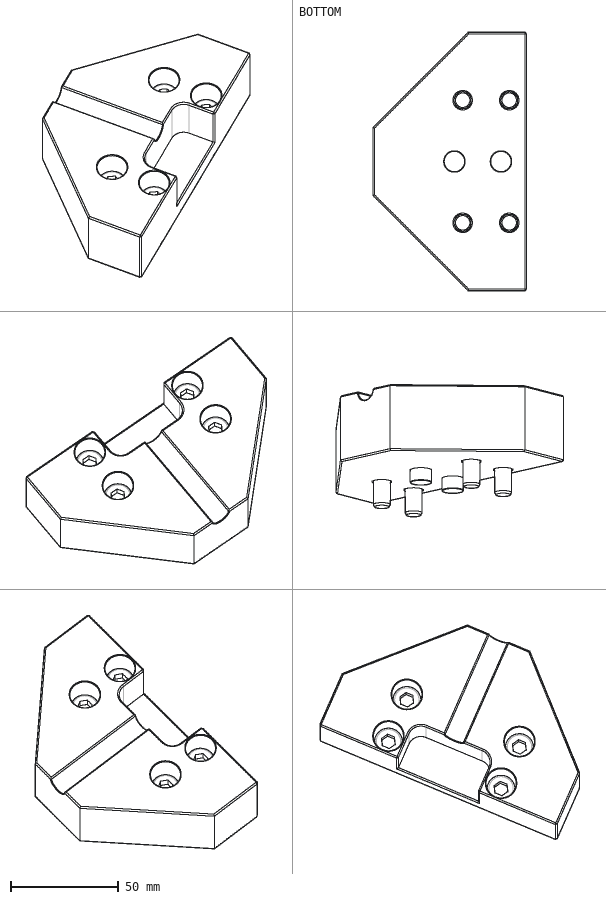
import cadquery as cq
import math

BLOCK_LENGTH = 71.7
BLOCK_WIDTH = 120.6
BLOCK_HEIGHT = 31.7
NARROW_FACE_WIDTH = 31.7
EDGE_CHAMFER = 0.7

COLUMN_SPACING = 21.7

POCKET_START_X = 52.6
POCKET_WIDTH = 40.7
POCKET_DEPTH = 21.7
POCKET_CORNER_RADIUS = 6.0

GROOVE_DIAMETER = 9.4
GROOVE_AXIS_DEPTH = 0.1
GROOVE_RIM_CHAMFER = 0.6
GROOVE_END_CHAMFER = 0.4

FIRST_BOLT_X = 41.9
BOLT_Y = 28.6
SHANK_DIAMETER = 8.0
CLEARANCE_DIAMETER = 9.0
SHANK_PROJECTION = 12.1
SHANK_LENGTH = 25.0
TIP_CHAMFER_WIDTH = 0.6
TIP_CHAMFER_HEIGHT = 1.1
HEAD_DIAMETER = 13.0
HEAD_HEIGHT = SHANK_DIAMETER
HEAD_FILLET = 0.8
SOCKET_ACROSS_FLATS = 6.0
SOCKET_DEPTH = HEAD_HEIGHT / 2
SOCKET_SIDES = 6
QUARTER_TURN = 90
COUNTERBORE_DIAMETER = 14.0
COUNTERBORE_CHAMFER = 0.4
SEAT_Z = SHANK_LENGTH - SHANK_PROJECTION

FIRST_DOWEL_X = 38.0
DOWEL_DIAMETER = 10.0
DOWEL_PROJECTION = 6.0
DOWEL_INSERTION = DOWEL_PROJECTION
DOWEL_CHAMFER = 0.2

COLUMN_OFFSETS = (0, COLUMN_SPACING)
BOLT_POINTS = [(FIRST_BOLT_X + offset, y) for offset in COLUMN_OFFSETS for y in (-BOLT_Y, BOLT_Y)]
DOWEL_POINTS = [(FIRST_DOWEL_X + offset, 0) for offset in COLUMN_OFFSETS]


def make_blank():
    """Prism with 45 degree flanks, a pocket in its wide side and chamfered edges."""
    flank = (BLOCK_WIDTH - NARROW_FACE_WIDTH) / 2
    half_narrow = NARROW_FACE_WIDTH / 2
    half_width = BLOCK_WIDTH / 2
    blank = (
        cq.Workplane("XY")
        .polyline(
            [
                (0, -half_narrow),
                (flank, -half_width),
                (BLOCK_LENGTH, -half_width),
                (BLOCK_LENGTH, half_width),
                (flank, half_width),
                (0, half_narrow),
            ]
        )
        .close()
        .extrude(BLOCK_HEIGHT)
    )
    pocket = (
        cq.Workplane("XY", origin=(POCKET_START_X, 0, BLOCK_HEIGHT - POCKET_DEPTH))
        .rect(BLOCK_LENGTH - POCKET_START_X, POCKET_WIDTH, centered=(False, True))
        .extrude(POCKET_DEPTH)
        .edges("|Z and <X")
        .fillet(POCKET_CORNER_RADIUS)
    )
    return blank.cut(pocket).faces(">Z or <Z or >X").edges().chamfer(EDGE_CHAMFER)


def make_groove_cutter():
    """Round-bottomed channel with chamfered rims and flared ends."""
    radius = GROOVE_DIAMETER / 2
    axis_z = BLOCK_HEIGHT - GROOVE_AXIS_DEPTH
    chamfer_z = BLOCK_HEIGHT - EDGE_CHAMFER
    rim_half_width = radius + GROOVE_RIM_CHAMFER
    arc_half_width = math.sqrt(radius**2 - (axis_z - chamfer_z) ** 2)
    channel = (
        cq.Workplane("YZ")
        .moveTo(-rim_half_width, BLOCK_HEIGHT)
        .lineTo(-arc_half_width, chamfer_z)
        .threePointArc((0, axis_z - radius), (arc_half_width, chamfer_z))
        .lineTo(rim_half_width, BLOCK_HEIGHT)
        .close()
        .extrude(POCKET_START_X)
    )
    flare_radius = radius + GROOVE_END_CHAMFER
    for end_x, inward in ((0, 1), (POCKET_START_X, -1)):
        flare = cq.Solid.makeCone(
            flare_radius,
            radius,
            GROOVE_END_CHAMFER,
            cq.Vector(end_x, 0, axis_z),
            cq.Vector(inward, 0, 0),
        )
        channel = channel.union(cq.Workplane(flare))
    return channel


def make_block():
    """Housing block with its groove, counterbored bolt holes and blind dowel holes."""
    bolt_holes = cq.Workplane("XY").pushPoints(BOLT_POINTS).circle(CLEARANCE_DIAMETER / 2).extrude(SEAT_Z)
    counterbores = (
        cq.Workplane("XY", origin=(0, 0, SEAT_Z))
        .pushPoints(BOLT_POINTS)
        .circle(COUNTERBORE_DIAMETER / 2)
        .extrude(BLOCK_HEIGHT - SEAT_Z)
    )
    dowel_holes = (
        cq.Workplane("XY").pushPoints(DOWEL_POINTS).circle(DOWEL_DIAMETER / 2).extrude(DOWEL_INSERTION)
    )
    block = make_blank().cut(make_groove_cutter()).cut(bolt_holes).cut(counterbores).cut(dowel_holes)
    for x, y in BOLT_POINTS:
        countersink = cq.Solid.makeCone(
            COUNTERBORE_DIAMETER / 2,
            COUNTERBORE_DIAMETER / 2 + COUNTERBORE_CHAMFER,
            COUNTERBORE_CHAMFER,
            cq.Vector(x, y, BLOCK_HEIGHT - COUNTERBORE_CHAMFER),
        )
        block = block.cut(cq.Workplane(countersink))
    return block


def make_bolt(x, y):
    """Socket head bolt with its head resting on the counterbore seat."""
    seat = cq.Workplane("XY", origin=(x, y, SEAT_Z))
    head = seat.circle(HEAD_DIAMETER / 2).extrude(HEAD_HEIGHT).faces(">Z").edges().fillet(HEAD_FILLET)
    shank = (
        seat.circle(SHANK_DIAMETER / 2)
        .extrude(-SHANK_LENGTH)
        .faces("<Z")
        .edges()
        .chamfer(TIP_CHAMFER_HEIGHT, TIP_CHAMFER_WIDTH)
    )
    across_corners = SOCKET_ACROSS_FLATS / math.cos(math.pi / SOCKET_SIDES)
    socket = (
        cq.Workplane("XY", origin=(x, y, SEAT_Z + HEAD_HEIGHT - SOCKET_DEPTH))
        .polygon(SOCKET_SIDES, across_corners)
        .extrude(SOCKET_DEPTH)
        .rotate((x, y, 0), (x, y, 1), QUARTER_TURN)
    )
    return head.union(shank).cut(socket)


def make_dowel(x, y):
    """Plain dowel seated at the bottom of its blind hole."""
    return (
        cq.Workplane("XY", origin=(x, y, -DOWEL_PROJECTION))
        .circle(DOWEL_DIAMETER / 2)
        .extrude(DOWEL_PROJECTION + DOWEL_INSERTION)
        .faces("<Z")
        .edges()
        .chamfer(DOWEL_CHAMFER)
    )


block = make_block()
bolts = [make_bolt(x, y) for x, y in BOLT_POINTS]
dowels = [make_dowel(x, y) for x, y in DOWEL_POINTS]

result = cq.Compound.makeCompound([body.val() for body in [block, *bolts, *dowels]])